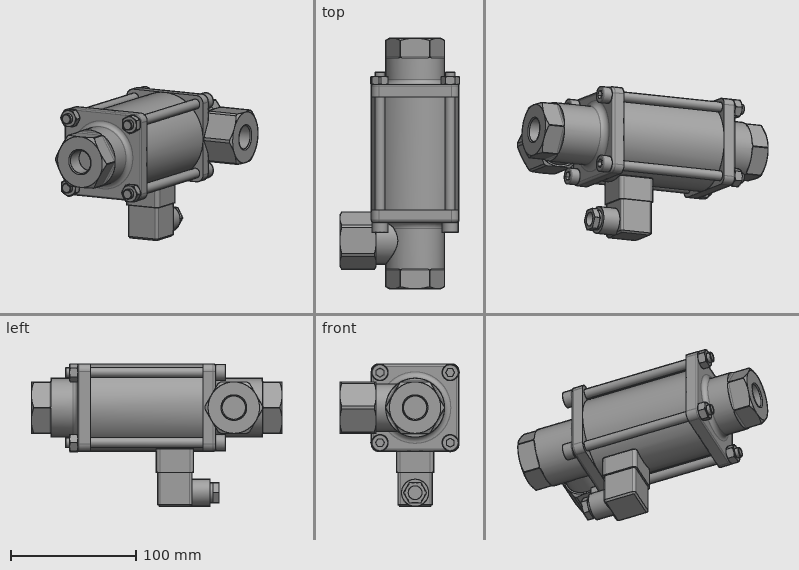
import cadquery as cq
import math


END_FACE = 100.0
PLATE_FRONT = -47.0
PLATE_REAR = 63.0
SIDE_PORT_Y = -61.5

PLATE_SIDE = 70.0
PLATE_THICKNESS = 10.0
PLATE_CORNER_RADIUS = 6.0
FRONT_EDGE_RADIUS = 2.0
REAR_EDGE_RADIUS = 1.0
HOUSING_DIAMETER = 70.0

NECK_DIAMETER = 47.0
SHOULDER_Y = 84.2
FLAT_ROOT_RADIUS = 1.0
FRONT_NECK_FILLET = 5.0
REAR_NECK_FILLET = 4.0
PORT_HEX_FLATS = 41.0
SIDE_HEX_DIAMETER = 46.0
SIDE_NECK_DIAMETER = 38.0
SIDE_PORT_FACE = 60.0
SIDE_HEX_LENGTH = 29.0
BORE_DIAMETER = 18.63
BORE_MOUTH_DIAMETER = 20.5
BORE_DEPTH = 15.0
HEX_CHAMFER_ANGLE = 30.0

BOLT_OFFSET = 28.0
BOLT_DIAMETER = 8.0
BOLT_LENGTH = 120.0
BOLT_END_CHAMFER = 0.5
BOLT_HEAD_DIAMETER = 13.0
BOLT_HEAD_HEIGHT = 8.0
HEAD_EDGE_RADIUS = 0.4
SOCKET_DIAMETER = 7.1
SOCKET_DEPTH = 4.0
NUT_FLATS = 13.0
NUT_HEIGHT = 6.5
NUT_BLANK_DIAMETER = 16.0

CONNECTOR_Y = -14.5
BASE_WIDTH = 30.0
BASE_TOP = -32.3
BASE_TOP_CHAMFER = 0.7
BASE_BOTTOM = -51.7
BASE_CORNER_RADIUS = 3.0
PLUG_WIDTH = 27.5
PLUG_BOTTOM = -78.7
PLUG_CORNER_RADIUS = 2.0
PLUG_BOTTOM_CHAMFER = 1.5
GLAND_DIAMETER = 21.6
GLAND_END = -42.6
GLAND_NECK_DIAMETER = 16.0
GLAND_NECK_END = -44.8
GLAND_HEX_FLATS = 16.0
GLAND_HEX_END = -49.8
GLAND_BORE_DIAMETER = 11.0
GLAND_BORE_DEPTH = 15.0


def across_corners(flats):
    return flats / math.cos(math.pi / 6)


def plane_along(origin, direction):
    """Sketch plane facing `direction`; its local x is horizontal."""
    x_axis = (0, 1, 0) if direction[0] else (1, 0, 0)
    return cq.Plane(origin=origin, xDir=x_axis, normal=direction)


def cylinder(origin, direction, diameter, length):
    return cq.Workplane(plane_along(origin, direction)).circle(diameter / 2).extrude(length)


def hexagon(origin, direction, flats, length, turn=0.0):
    """Hexagonal prism; with no turn two of its corners lie on the local x axis."""
    prism = cq.Workplane(plane_along(origin, direction)).polygon(6, across_corners(flats)).extrude(length)
    end = tuple(o + d for o, d in zip(origin, direction))
    return prism.rotate(origin, end, turn)


def rim_chamfer(flats, diameter):
    """Axial length of a chamfer that turns `diameter` down to the width over the flats."""
    return (diameter - flats) / 2 * math.tan(math.radians(HEX_CHAMFER_ANGLE))


def chamfered_hexagon(origin, direction, flats, diameter, length, turn=0.0):
    """Hexagonal prism cut from a round blank whose two rims are chamfered."""
    rim = flats / 2
    run = rim_chamfer(flats, diameter)
    blank = (
        cq.Workplane("XZ")
        .moveTo(0, 0)
        .lineTo(rim, 0)
        .lineTo(diameter / 2, run)
        .lineTo(diameter / 2, length - run)
        .lineTo(rim, length)
        .lineTo(0, length)
        .close()
        .revolve(360, (0, 0, 0), (0, 1, 0))
    )
    placed_blank = blank.val().located(cq.Location(plane_along(origin, direction)))
    return hexagon(origin, direction, flats, length, turn).intersect(cq.Workplane(placed_blank))


def threaded_port_bore(face_center, inward):
    """Blind bore with a 45 degree countersink at its mouth."""
    countersink = (BORE_MOUTH_DIAMETER - BORE_DIAMETER) / 2
    mouth = (
        cq.Workplane(plane_along(face_center, inward))
        .circle(BORE_MOUTH_DIAMETER / 2)
        .extrude(countersink, taper=45)
    )
    return cylinder(face_center, inward, BORE_DIAMETER, BORE_DEPTH).union(mouth)


def end_plate(outer_y, outward, edge_radius):
    """Square plate with rounded corners and a rounded outer rim."""
    inner_y = outer_y - outward * PLATE_THICKNESS
    return (
        cq.Workplane(plane_along((0, inner_y, 0), (0, outward, 0)))
        .rect(PLATE_SIDE, PLATE_SIDE)
        .extrude(PLATE_THICKNESS)
        .edges("|Y")
        .fillet(PLATE_CORNER_RADIUS)
        .faces(">Y" if outward > 0 else "<Y")
        .edges()
        .fillet(edge_radius)
    )


def end_bar(plate_y, outward, fillet_radius):
    """Round bar from a plate to the port face, flared at the plate, chamfered at the face."""
    radius = NECK_DIAMETER / 2
    flare_middle = fillet_radius * (1 - math.sqrt(0.5))
    face_y = outward * END_FACE
    chamfer_y = face_y - outward * rim_chamfer(PORT_HEX_FLATS, NECK_DIAMETER)
    return (
        cq.Workplane("XY")
        .moveTo(0, plate_y)
        .lineTo(radius + fillet_radius, plate_y)
        .threePointArc(
            (radius + flare_middle, plate_y + outward * flare_middle),
            (radius, plate_y + outward * fillet_radius),
        )
        .lineTo(radius, chamfer_y)
        .lineTo(PORT_HEX_FLATS / 2, face_y)
        .lineTo(0, face_y)
        .close()
        .revolve(360, (0, 0, 0), (0, 1, 0))
    )


def end_port(plate_y, outward, fillet_radius):
    """Neck whose outer end carries six wrench flats with filleted roots."""
    flat_length = END_FACE - SHOULDER_Y
    flat_cutter = (
        cq.Workplane("XY")
        .box(NECK_DIAMETER, flat_length, NECK_DIAMETER)
        .translate((0, outward * (END_FACE - flat_length / 2), (PORT_HEX_FLATS + NECK_DIAMETER) / 2))
        .edges("<Z and " + ("<Y" if outward > 0 else ">Y"))
        .fillet(FLAT_ROOT_RADIUS)
    )
    port = end_bar(plate_y, outward, fillet_radius)
    for flat in range(6):
        port = port.cut(flat_cutter.rotate((0, 0, 0), (0, 1, 0), flat * 60))
    return port


def side_port():
    side_neck = cylinder((0, SIDE_PORT_Y, 0), (-1, 0, 0), SIDE_NECK_DIAMETER, SIDE_PORT_FACE - SIDE_HEX_LENGTH)
    hexagon_start = (SIDE_HEX_LENGTH - SIDE_PORT_FACE, SIDE_PORT_Y, 0)
    side_hexagon = chamfered_hexagon(
        hexagon_start, (-1, 0, 0), PORT_HEX_FLATS, SIDE_HEX_DIAMETER, SIDE_HEX_LENGTH
    )
    return side_neck.union(side_hexagon)


def tie_bolt(x, z, turn):
    """Socket head bolt with its nut, both turned by the same angle."""
    head = cylinder((x, PLATE_FRONT, z), (0, -1, 0), BOLT_HEAD_DIAMETER, BOLT_HEAD_HEIGHT)
    head = head.edges("%CIRCLE").fillet(HEAD_EDGE_RADIUS)
    head_face = (x, PLATE_FRONT - BOLT_HEAD_HEIGHT, z)
    socket_flats = SOCKET_DIAMETER * math.cos(math.pi / 6)
    socket = hexagon(head_face, (0, 1, 0), socket_flats, SOCKET_DEPTH, turn)
    shank = (
        cylinder((x, PLATE_FRONT, z), (0, 1, 0), BOLT_DIAMETER, BOLT_LENGTH)
        .faces(">Y")
        .chamfer(BOLT_END_CHAMFER)
    )
    nut = chamfered_hexagon(
        (x, PLATE_REAR, z), (0, 1, 0), NUT_FLATS, NUT_BLANK_DIAMETER, NUT_HEIGHT, turn
    )
    return head.cut(socket).union(shank).union(nut)


def square_block(width, top, bottom, corner_radius):
    return (
        cq.Workplane("XY", origin=(0, CONNECTOR_Y, bottom))
        .rect(width, width)
        .extrude(top - bottom)
        .edges("|Z")
        .fillet(corner_radius)
    )


def cable_gland():
    """Stepped gland on the connector's front side, tangent to the connector's bottom."""
    gland_z = PLUG_BOTTOM + GLAND_DIAMETER / 2
    forward = (0, -1, 0)
    barrel = cylinder((0, CONNECTOR_Y, gland_z), forward, GLAND_DIAMETER, CONNECTOR_Y - GLAND_END)
    gland_neck = cylinder((0, GLAND_END, gland_z), forward, GLAND_NECK_DIAMETER, GLAND_END - GLAND_NECK_END)
    nut = hexagon((0, GLAND_NECK_END, gland_z), forward, GLAND_HEX_FLATS, GLAND_NECK_END - GLAND_HEX_END)
    bore = cylinder((0, GLAND_HEX_END, gland_z), (0, 1, 0), GLAND_BORE_DIAMETER, GLAND_BORE_DEPTH)
    return barrel.union(gland_neck).union(nut).cut(bore)


def connector():
    base = (
        square_block(BASE_WIDTH, BASE_TOP, BASE_BOTTOM, BASE_CORNER_RADIUS)
        .faces(">Z")
        .chamfer(BASE_TOP_CHAMFER)
    )
    plug = (
        square_block(PLUG_WIDTH, BASE_BOTTOM, PLUG_BOTTOM, PLUG_CORNER_RADIUS)
        .faces("<Z")
        .chamfer(PLUG_BOTTOM_CHAMFER)
    )
    return base.union(plug).union(cable_gland())


def valve():
    housing_length = PLATE_REAR - PLATE_FRONT - 2 * PLATE_THICKNESS
    body = cylinder((0, PLATE_FRONT + PLATE_THICKNESS, 0), (0, 1, 0), HOUSING_DIAMETER, housing_length)
    body = body.union(end_plate(PLATE_FRONT, -1, FRONT_EDGE_RADIUS))
    body = body.union(end_plate(PLATE_REAR, 1, REAR_EDGE_RADIUS))
    body = body.union(end_port(PLATE_FRONT, -1, FRONT_NECK_FILLET))
    body = body.union(end_port(PLATE_REAR, 1, REAR_NECK_FILLET))
    body = body.union(side_port())
    body = body.union(connector())

    for side in (-1, 1):
        for level in (-1, 1):
            turn = 0 if side == level else 90
            body = body.union(tie_bolt(side * BOLT_OFFSET, level * BOLT_OFFSET, turn))

    overhang = cq.Workplane("XY", origin=(0, 0, PLATE_SIDE / 2)).rect(PLATE_SIDE, 2 * END_FACE)
    body = body.cut(overhang.extrude(NUT_FLATS))

    body = body.cut(threaded_port_bore((0, -END_FACE, 0), (0, 1, 0)))
    body = body.cut(threaded_port_bore((0, END_FACE, 0), (0, -1, 0)))
    return body.cut(threaded_port_bore((-SIDE_PORT_FACE, SIDE_PORT_Y, 0), (1, 0, 0)))


result = valve()